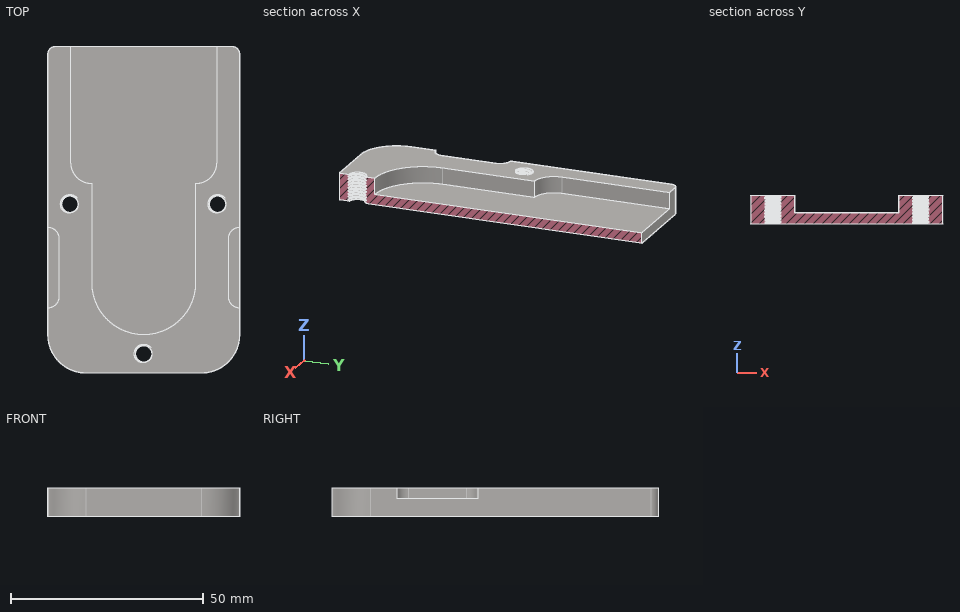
import cadquery as cq
import math

WIDTH = 50.0
LENGTH = 85
THICKNESS = 7.5
FRONT_CORNER_RADIUS = 10.0
BACK_CORNER_RADIUS = 2.0

POCKET_DEPTH = 4.5
WIDE_WIDTH = 38.0
WIDE_LENGTH = 35.7
NARROW_WIDTH = 27.0
POCKET_FRONT_MARGIN = 10.0

NOTCH_DEPTH = 2.8
NOTCH_INSET = 3.0
NOTCH_LENGTH = 21.0
NOTCH_CENTER_Y = -15.05

HOLE_DIAMETER = 4.25
THREAD_DIAMETER = 5.0
THREAD_PITCH = 0.8
GROOVE_ROOT_WIDTH = 0.1
GROOVE_FLANK_ANGLE = 30
SIDE_HOLE_X = 19.2
SIDE_HOLE_Y = 1.45
FRONT_HOLE_MARGIN = 5.0

back_y = LENGTH / 2
front_y = -LENGTH / 2
pocket_floor_z = THICKNESS - POCKET_DEPTH
notch_floor_z = THICKNESS - NOTCH_DEPTH


def make_plate():
    plate = cq.Workplane("XY").rect(WIDTH, LENGTH).extrude(THICKNESS)
    plate = plate.edges("|Z and <Y").fillet(FRONT_CORNER_RADIUS)
    return plate.edges("|Z and >Y").fillet(BACK_CORNER_RADIUS)


def make_pocket():
    half_wide = WIDE_WIDTH / 2
    half_narrow = NARROW_WIDTH / 2
    step_radius = half_wide - half_narrow
    step_y = back_y - WIDE_LENGTH
    round_end_y = front_y + POCKET_FRONT_MARGIN
    round_start_y = round_end_y + half_narrow
    return (
        cq.Workplane("XY", origin=(0, 0, pocket_floor_z))
        .moveTo(-half_wide, back_y)
        .lineTo(-half_wide, step_y + step_radius)
        .radiusArc((-half_narrow, step_y), -step_radius)
        .lineTo(-half_narrow, round_start_y)
        .threePointArc((0, round_end_y), (half_narrow, round_start_y))
        .lineTo(half_narrow, step_y)
        .radiusArc((half_wide, step_y + step_radius), -step_radius)
        .lineTo(half_wide, back_y)
        .close()
        .extrude(POCKET_DEPTH)
    )


def make_notches():
    return (
        cq.Workplane("XY", origin=(0, 0, notch_floor_z))
        .pushPoints([(side * WIDTH / 2, NOTCH_CENTER_Y) for side in (-1, 1)])
        .slot2D(NOTCH_LENGTH, 2 * NOTCH_INSET, 90)
        .extrude(NOTCH_DEPTH)
    )


def make_thread_groove():
    bore_radius = HOLE_DIAMETER / 2
    root_radius = THREAD_DIAMETER / 2
    turns_below_top = math.ceil(THICKNESS / THREAD_PITCH) + 1
    height = (turns_below_top + 1) * THREAD_PITCH
    start_z = THICKNESS - turns_below_top * THREAD_PITCH
    root_half = GROOVE_ROOT_WIDTH / 2
    flank_slope = math.tan(math.radians(GROOVE_FLANK_ANGLE))
    mouth_half = root_half + (root_radius - bore_radius) * flank_slope
    profile = [
        (bore_radius, -mouth_half),
        (root_radius, -root_half),
        (root_radius, root_half),
        (bore_radius, mouth_half),
    ]

    helices = [
        cq.Wire.makeHelix(THREAD_PITCH, height, radius).translate(cq.Vector(0, 0, z))
        for radius, z in profile
    ]
    faces = [cq.Face.makeRuledSurface(helices[i - 1], helices[i]) for i in range(len(helices))]
    for end_z in (0, height):
        corners = [cq.Vector(radius, 0, z + end_z) for radius, z in profile]
        faces.append(cq.Face.makeFromWires(cq.Wire.makePolygon(corners, close=True)))
    groove = cq.Solid.makeSolid(cq.Shell.makeShell(faces))
    return cq.Workplane(groove).rotate((0, 0, 0), (0, 0, 1), 180).translate((0, 0, start_z))


def cut_threaded_holes(body):
    centers = [
        (-SIDE_HOLE_X, SIDE_HOLE_Y),
        (SIDE_HOLE_X, SIDE_HOLE_Y),
        (0, front_y + FRONT_HOLE_MARGIN),
    ]
    bore = cq.Workplane("XY").circle(HOLE_DIAMETER / 2).extrude(THICKNESS)
    groove = make_thread_groove()
    for x, y in centers:
        body = body.cut(bore.translate((x, y, 0)))
        body = body.cut(groove.translate((x, y, 0)))
    return body


result = cut_threaded_holes(make_plate().cut(make_pocket()).cut(make_notches()))